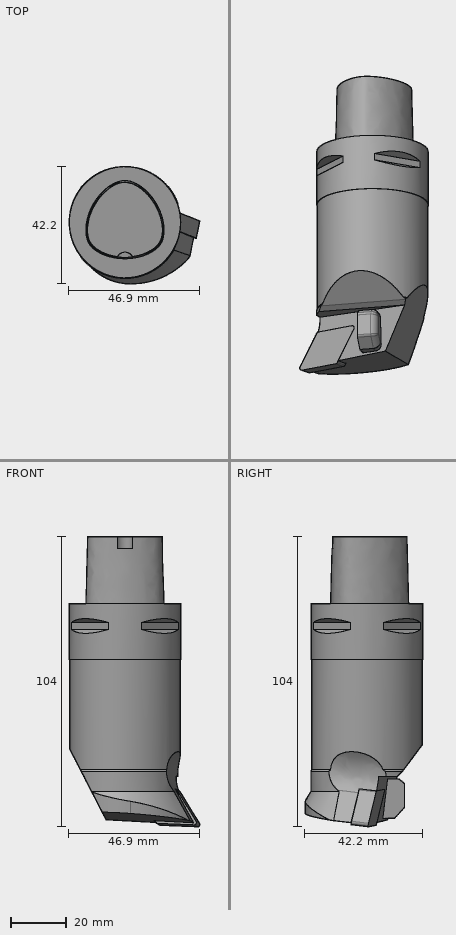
import cadquery as cq
import math


shank_height = 24.0
shank_radius = 14.0
shank_lobe = 0.9
shank_taper = 0.6
shank_points = 48
key_diameter = 6.0
key_depth = 4.3
key_center_y = -13.7

collar_radius = 40.0 / 2
collar_height = 20.0
body_radius = 39.7 / 2

groove_z = -8.0
groove_floor_height = 2.4
groove_mouth_height = 5.3
groove_floor_distance = 17.7
groove_count = 4

head_radius = 20.2
head_step_z = -59.5
head_top_z = -60.1
flare_top_z = -67.3
flare_angle = 30
deep_z = -93.6
rim_center_x = 2.1
rim_bottom_y = -22.2
rim_small_radius = 20.0
rim_large_radius = 28.0
bottom_z = -77.3
bottom_slope_x = -0.075
bottom_slope_y = -0.1

flat_top_z = -52
flat_angle = 27.2

insert_tip = cq.Vector(27.6, 0.2, -80.1)
insert_side = 15.5
insert_angle = 55
insert_thickness = 6.3
insert_corner_radius = 0.8
insert_edge_rise = 0.04
rake_slope_x = 0.2
rake_slope_z = 0.12
rake_normal = cq.Vector(rake_slope_x, 1, -rake_slope_z)

flute_radius = 13.1
flute_center_x = 30.7
flute_center_z = -61.6
flute_angle = 30

pocket_roof = [(20.9, -49.2), (19.9, -50.5), (12.6, -60.3), (10.9, -61.9)]

pad_x_min = -5.2
pad_x_max = 2.1
pad_outline = [(5.2, -62.8), (11.4, -62.8), (13.5, -64.5), (13.5, -73.0), (9.9, -77), (5.2, -77)]
pad_round = 1.2
pad_face_round = 2.3

reach = 62.4


def lobed_wire(radius, z):
    """Three-lobed closed curve whose distance to its tangents is radius + lobe * cos(3 a)."""
    points = []
    for i in range(shank_points):
        a = 2 * math.pi * i / shank_points
        distance = radius + shank_lobe * math.cos(3 * a)
        slope = -3 * shank_lobe * math.sin(3 * a)
        along = distance * math.cos(a) - slope * math.sin(a)
        across = distance * math.sin(a) + slope * math.cos(a)
        points.append(cq.Vector(-across, along, z))
    return cq.Wire.assembleEdges([cq.Edge.makeSpline(points, periodic=True)])


def make_shank():
    shank = cq.Workplane(cq.Solid.makeLoft([
        lobed_wire(shank_radius, 0),
        lobed_wire(shank_radius - shank_taper, shank_height),
    ]))
    key = (cq.Workplane("XY", origin=(0, key_center_y, shank_height))
           .circle(key_diameter / 2).extrude(-key_depth))
    return shank.cut(key)


def make_groove(angle):
    depth = collar_radius - groove_floor_distance
    mouth_overrun = 1
    mouth_slope = (groove_mouth_height - groove_floor_height) / 2 / depth
    outer = collar_radius + mouth_overrun
    outer_half = groove_mouth_height / 2 + mouth_slope * mouth_overrun
    floor_half = groove_floor_height / 2
    groove = (cq.Workplane("XZ")
              .polyline([
                  (groove_floor_distance, groove_z - floor_half),
                  (outer, groove_z - outer_half),
                  (outer, groove_z + outer_half),
                  (groove_floor_distance, groove_z + floor_half),
              ]).close().extrude(collar_radius, both=True))
    return groove.rotate((0, 0, 0), (0, 0, 1), angle)


def make_collar():
    collar = cq.Workplane("XY").circle(collar_radius).extrude(-collar_height)
    for i in range(groove_count):
        collar = collar.cut(make_groove(45 + 360 / groove_count * i))
    return collar


def make_flared_body():
    """Round body, wider head and conical flare as one turned shape."""
    flare_radius = head_radius + (flare_top_z - deep_z) * math.tan(math.radians(flare_angle))
    return (cq.Workplane("XZ")
            .polyline([
                (0, -collar_height),
                (body_radius, -collar_height),
                (body_radius, head_step_z),
                (head_radius, head_top_z),
                (head_radius, flare_top_z),
                (flare_radius, deep_z),
                (0, deep_z),
            ]).close().revolve(360, (0, 0, 0), (0, 1, 0)))


def make_rim_limit():
    """Upright prism of two tangent arcs that limits the flare."""
    small_y = rim_bottom_y + rim_small_radius
    large_y = rim_bottom_y + rim_large_radius
    left = rim_center_x - rim_small_radius
    right = rim_center_x + rim_large_radius
    diagonal = math.sqrt(0.5)
    return (cq.Workplane("XY", origin=(0, 0, flare_top_z))
            .moveTo(left, small_y)
            .threePointArc((rim_center_x - rim_small_radius * diagonal,
                            small_y - rim_small_radius * diagonal),
                           (rim_center_x, rim_bottom_y))
            .threePointArc((rim_center_x + rim_large_radius * diagonal,
                            large_y - rim_large_radius * diagonal),
                           (right, large_y))
            .lineTo(right, reach).lineTo(left, reach).close()
            .extrude(deep_z - flare_top_z))


def half_space(origin, normal):
    """Large block filling the side of a plane that the normal points to."""
    return (cq.Workplane(cq.Plane(origin=origin, normal=normal))
            .rect(4 * reach, 4 * reach).extrude(2 * reach))


def make_flat_cut():
    lean = math.radians(flat_angle)
    return half_space((-body_radius, 0, flat_top_z), (-math.cos(lean), 0, -math.sin(lean)))


def make_underside_cut():
    return half_space((0, 0, bottom_z), (bottom_slope_x, bottom_slope_y, -1))


def make_flute_cut():
    """Round flute running out into the slanted seat, swept along the rake normal."""
    lean = math.radians(flute_angle)
    tangent_x = flute_center_x - flute_radius * math.cos(lean)
    tangent_z = flute_center_z - flute_radius * math.sin(lean)
    seat_end_x = tangent_x + (tangent_z - deep_z) * math.tan(lean)
    profile = (cq.Workplane("XZ")
               .moveTo(flute_center_x, flute_center_z + flute_radius)
               .threePointArc((flute_center_x - flute_radius, flute_center_z), (tangent_x, tangent_z))
               .lineTo(seat_end_x, deep_z)
               .lineTo(reach, deep_z)
               .lineTo(reach, flute_center_z + flute_radius)
               .close())
    start = rake_normal.multiply(reach)
    wire = profile.val().translate(start)
    return cq.Workplane(cq.Solid.extrudeLinear(wire, [], start.multiply(-2)))


def make_pocket_cut():
    roof_end_z = pocket_roof[-1][1]
    below_roof = (cq.Workplane("YZ")
                  .polyline(pocket_roof + [(-reach, roof_end_z), (-reach, deep_z),
                                           (reach, deep_z), (reach, pocket_roof[0][1])])
                  .close().extrude(reach, both=True))
    return below_roof.intersect(half_space(insert_tip, rake_normal))


def make_clamp_pad():
    return (cq.Workplane("YZ", origin=(pad_x_min, 0, 0))
            .polyline(pad_outline).close().extrude(pad_x_max - pad_x_min)
            .edges("|X and >Y").fillet(pad_round)
            .faces("<X").edges().fillet(pad_face_round))


def make_insert():
    lower_edge = cq.Vector(-1, rake_slope_x + rake_slope_z * insert_edge_rise, insert_edge_rise)
    angle = math.radians(insert_angle)
    far_x = insert_side * math.cos(angle)
    far_y = insert_side * math.sin(angle)
    rake_plane = cq.Plane(origin=insert_tip, xDir=lower_edge, normal=rake_normal)
    return (cq.Workplane(rake_plane)
            .polyline([(0, 0), (insert_side, 0), (insert_side + far_x, far_y), (far_x, far_y)])
            .close().extrude(-insert_thickness)
            .edges(cq.selectors.ParallelDirSelector(rake_normal)).fillet(insert_corner_radius))


def make_holder(insert):
    body = make_flared_body()
    head_outside_rim = (cq.Workplane("XY", origin=(0, 0, flare_top_z))
                        .rect(4 * reach, 4 * reach).extrude(deep_z - flare_top_z)
                        .cut(make_rim_limit()))
    body = body.cut(head_outside_rim)
    body = body.cut(make_flute_cut())
    body = body.cut(make_pocket_cut())
    body = body.union(make_clamp_pad())
    body = body.cut(make_flat_cut())
    body = body.cut(make_underside_cut())
    body = body.cut(insert)
    return body.union(make_collar()).union(make_shank())


insert = make_insert()
holder = make_holder(insert)
result = cq.Compound.makeCompound([holder.val(), insert.val()])